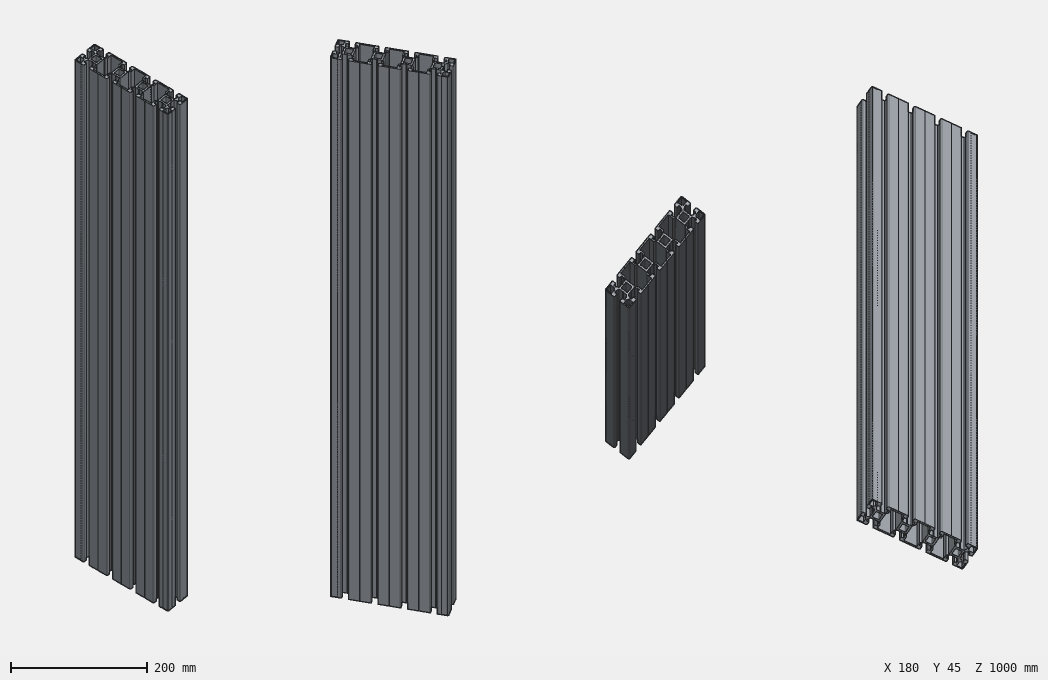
import cadquery as cq

LENGTH = 1000.0
MODULE = 45.0
CELL_COUNT = 4
WIDTH = CELL_COUNT * MODULE
HALF_WIDTH = WIDTH / 2
HALF_HEIGHT = MODULE / 2
CORNER_RADIUS = 2.0

SLOT_OPENING = 10.0
SLOT_ENTRY_RADIUS = 1.25
SLOT_INNER_WIDTH = 18.0
SLOT_FLOOR_WIDTH = 14.0
SLOT_LIP_DEPTH = 6.0
SLOT_SHOULDER_DEPTH = 9.0
SLOT_FLOOR_DEPTH = 13.75

FLOOR_GROOVE_WIDTH = 1.5
FACE_GROOVE_WIDTH = 0.6

BORE_SIZE = 11.2
BORE_CORNER_RADIUS = 1.0

CHAMBER_WALL = 2.6
CHAMBER_WIDTH = 22.0
CHAMBER_WAIST_WIDTH = 27.5
CHAMBER_SHOULDER_Y = 12.0
CHAMBER_WAIST_Y = 9.5

HOLLOW_WALL = 1.7
HOLLOW_SIZE = 9.1
HOLLOW_BEVEL = 2.2

cell_centres = [(i - (CELL_COUNT - 1) / 2) * MODULE for i in range(CELL_COUNT)]
cell_boundaries = [x + MODULE / 2 for x in cell_centres[:-1]]


def prism(outline):
    return cq.Workplane("XY").polyline(outline).close().extrude(LENGTH)


def mirrored_in_x(right_side):
    """Closed outline made of a right-hand chain of points and its mirror image."""
    return right_side + [(-x, y) for x, y in reversed(right_side)]


def body():
    blank = cq.Workplane("XY").rect(WIDTH, MODULE).extrude(LENGTH)
    return blank.edges("|Z").fillet(CORNER_RADIUS)


def slot_cutter():
    """T-slot with rounded entry edges, opening on the +Y face of a cell at the origin."""
    half_opening = SLOT_OPENING / 2
    half_mouth = half_opening + SLOT_ENTRY_RADIUS
    entry_y = HALF_HEIGHT - SLOT_ENTRY_RADIUS
    lip_y = HALF_HEIGHT - SLOT_LIP_DEPTH
    floor_y = HALF_HEIGHT - SLOT_FLOOR_DEPTH
    chamber = prism(
        mirrored_in_x(
            [
                (SLOT_INNER_WIDTH / 2, lip_y),
                (SLOT_INNER_WIDTH / 2, HALF_HEIGHT - SLOT_SHOULDER_DEPTH),
                (SLOT_FLOOR_WIDTH / 2, floor_y),
            ]
        )
    )
    opening = (
        cq.Workplane("XY")
        .moveTo(-half_mouth, HALF_HEIGHT)
        .radiusArc((-half_opening, entry_y), SLOT_ENTRY_RADIUS)
        .lineTo(-half_opening, lip_y)
        .lineTo(half_opening, lip_y)
        .lineTo(half_opening, entry_y)
        .radiusArc((half_mouth, HALF_HEIGHT), SLOT_ENTRY_RADIUS)
        .close()
        .extrude(LENGTH)
    )
    return chamber.union(opening).union(groove_cutter(FLOOR_GROOVE_WIDTH, floor_y))


def groove_cutter(width, face_y):
    """V-groove sunk toward -Y from a face at face_y."""
    half_width = width / 2
    return prism([(-half_width, face_y), (half_width, face_y), (0, face_y - half_width)])


def placed(cutter, angle, x):
    return cutter.rotate((0, 0, 0), (0, 0, 1), angle).translate((x, 0, 0))


def cut_slots(part):
    slot = slot_cutter()
    for x in cell_centres:
        part = part.cut(placed(slot, 0, x))
        part = part.cut(placed(slot, 180, x))
    part = part.cut(placed(slot, 90, cell_centres[0]))
    return part.cut(placed(slot, -90, cell_centres[-1]))


def cut_face_grooves(part):
    groove = groove_cutter(FACE_GROOVE_WIDTH, HALF_HEIGHT)
    for x in cell_boundaries:
        part = part.cut(placed(groove, 0, x))
        part = part.cut(placed(groove, 180, x))
    return part


def cut_bores(part):
    bore = cq.Workplane("XY").rect(BORE_SIZE, BORE_SIZE).extrude(LENGTH)
    bore = bore.edges("|Z").fillet(BORE_CORNER_RADIUS)
    for x in cell_centres:
        part = part.cut(bore.translate((x, 0, 0)))
    return part


def cut_chambers(part):
    half_width = CHAMBER_WIDTH / 2
    half_waist = CHAMBER_WAIST_WIDTH / 2
    upper_right = [
        (half_width, HALF_HEIGHT - CHAMBER_WALL),
        (half_width, CHAMBER_SHOULDER_Y),
        (half_waist, CHAMBER_WAIST_Y),
    ]
    lower_right = [(x, -y) for x, y in reversed(upper_right)]
    chamber = prism(mirrored_in_x(upper_right + lower_right))
    for x in cell_boundaries:
        part = part.cut(chamber.translate((x, 0, 0)))
    return part


def cut_corner_hollows(part):
    outer_x = HALF_WIDTH - HOLLOW_WALL
    outer_y = HALF_HEIGHT - HOLLOW_WALL
    inner_x = outer_x - HOLLOW_SIZE
    inner_y = outer_y - HOLLOW_SIZE
    outline = [
        (outer_x, outer_y),
        (inner_x, outer_y),
        (inner_x, inner_y + HOLLOW_BEVEL),
        (inner_x + HOLLOW_BEVEL, inner_y),
        (outer_x, inner_y),
    ]
    for x_sign in (-1, 1):
        for y_sign in (-1, 1):
            part = part.cut(prism([(x_sign * x, y_sign * y) for x, y in outline]))
    return part


result = body()
result = cut_slots(result)
result = cut_face_grooves(result)
result = cut_bores(result)
result = cut_chambers(result)
result = cut_corner_hollows(result)